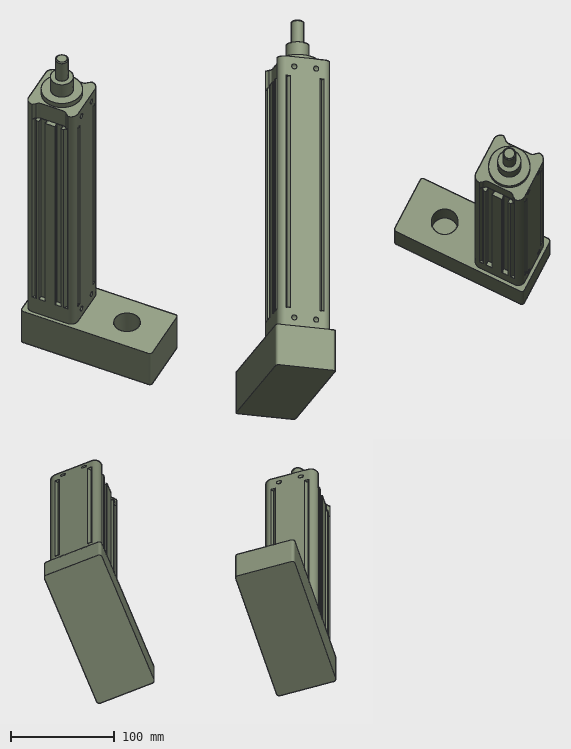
import cadquery as cq
import math

BASE_LENGTH = 140.0
BASE_WIDTH = 60.0
BASE_HEIGHT = 42.0
BASE_CORNER = 3.0
BORE_DIAMETER = 25.7
BORE_DEPTH = 29.5
BORE_SPACING = 70.0

BODY_SIDE = 53.0
BODY_MARGIN = (BASE_WIDTH - BODY_SIDE) / 2
BODY_TOP = 321.0
BODY_CORNER = 7.5
BODY_X = BODY_MARGIN + BODY_SIDE / 2

FLANGE = (40.0, 326.5)
COLLAR = (22.5, 343.0)
ROD = (12.5, 367.5)
ROD_CHAMFER = 1.0

END_MARGIN = 20.0
GROOVE_BOTTOM = BASE_HEIGHT + END_MARGIN
GROOVE_TOP = BODY_TOP - END_MARGIN
EDGE_GROOVE_WIDTH = 4.5
EDGE_GROOVE_DEPTH = 3.0
EDGE_GROOVE_OUTER_RUN = 2.0
SLOT_DEPTH = 4.5
SLOT_OUTER_EDGE = 11.8
RIB_HALF_WIDTH = 6.0
RIB_NOSE = 0.7

RECESS_DEPTH = 4.8
RECESS_ARC_RADIUS = 5.0
RECESS_ARC_ANGLE = 57.0
RECESS_RIM_STEP = 1.0

DIMPLE_DIAMETER = 5.0
DIMPLE_DEPTH = DIMPLE_DIAMETER / 2
DIMPLE_SPACING = 22.0
DIMPLE_END_DISTANCE = 10.0

HALF_SIDE = BODY_SIDE / 2
FLAT_EDGE = HALF_SIDE - BODY_CORNER
OVERCUT = 2.0


def turned(shape, angle):
    """Turn a shape made for the front face onto another face of the body."""
    return shape.rotate((0, 0, 0), (0, 0, 1), angle)


def edge_groove(side):
    """V groove beside a rounded body edge, on the front face (side is -1 or 1)."""
    outer = side * FLAT_EDGE
    inner = side * (FLAT_EDGE - EDGE_GROOVE_WIDTH)
    bottom = side * (FLAT_EDGE - EDGE_GROOVE_OUTER_RUN)
    return (
        cq.Workplane("XY", origin=(0, 0, GROOVE_BOTTOM))
        .moveTo(outer, -HALF_SIDE - OVERCUT)
        .lineTo(outer, -HALF_SIDE)
        .lineTo(bottom, -HALF_SIDE + EDGE_GROOVE_DEPTH)
        .lineTo(inner, -HALF_SIDE)
        .lineTo(inner, -HALF_SIDE - OVERCUT)
        .close()
        .extrude(GROOVE_TOP - GROOVE_BOTTOM)
    )


def sensor_slot():
    """One slot in the front face, its inner wall undercut behind the pointed edge of the central rib."""
    rib_wall = RIB_HALF_WIDTH - RIB_NOSE
    return (
        cq.Workplane("XY", origin=(0, 0, GROOVE_BOTTOM))
        .moveTo(SLOT_OUTER_EDGE, -HALF_SIDE - OVERCUT)
        .lineTo(SLOT_OUTER_EDGE, -HALF_SIDE + SLOT_DEPTH)
        .lineTo(rib_wall, -HALF_SIDE + SLOT_DEPTH)
        .lineTo(rib_wall, -HALF_SIDE + 2 * RIB_NOSE)
        .lineTo(RIB_HALF_WIDTH, -HALF_SIDE + RIB_NOSE)
        .lineTo(rib_wall, -HALF_SIDE)
        .lineTo(rib_wall, -HALF_SIDE - OVERCUT)
        .close()
        .extrude(GROOVE_TOP - GROOVE_BOTTOM)
    )


def recess():
    """Recess open at the top of the front face, its floor curving up into sloped sides."""
    floor_y = -HALF_SIDE + RECESS_DEPTH
    floor_x = SLOT_OUTER_EDGE

    def arc_point(angle):
        turn = math.radians(angle)
        return (
            floor_x + RECESS_ARC_RADIUS * math.sin(turn),
            floor_y - RECESS_ARC_RADIUS * (1 - math.cos(turn)),
        )

    middle = arc_point(RECESS_ARC_ANGLE / 2)
    end = arc_point(RECESS_ARC_ANGLE)
    step = (FLAT_EDGE - RECESS_RIM_STEP, -HALF_SIDE + RECESS_RIM_STEP)
    half = (
        cq.Workplane("XY", origin=(0, 0, GROOVE_TOP))
        .moveTo(0, floor_y)
        .lineTo(floor_x, floor_y)
        .threePointArc(middle, end)
        .lineTo(*step)
        .lineTo(FLAT_EDGE, -HALF_SIDE)
        .lineTo(FLAT_EDGE, -HALF_SIDE - OVERCUT)
        .lineTo(0, -HALF_SIDE - OVERCUT)
        .close()
        .extrude(END_MARGIN + OVERCUT)
    )
    return half.union(half.mirror("YZ"))


def dimples():
    """Four conical dimples in the front face, two near each body end."""
    cone = cq.Solid.makeCone(
        DIMPLE_DIAMETER / 2, 0, DIMPLE_DEPTH, pnt=cq.Vector(0, -HALF_SIDE, 0), dir=cq.Vector(0, 1, 0)
    )
    heights = (BASE_HEIGHT + DIMPLE_END_DISTANCE, BODY_TOP - DIMPLE_END_DISTANCE)
    centres = [(side * DIMPLE_SPACING / 2, 0, z) for side in (-1, 1) for z in heights]
    return cq.Workplane("XY").pushPoints(centres).eachpoint(cone)


def body():
    """Square profile with its grooves, recesses and dimples, centred on the Z axis."""
    profile = (
        cq.Workplane("XY", origin=(0, 0, BASE_HEIGHT))
        .rect(BODY_SIDE, BODY_SIDE)
        .extrude(BODY_TOP - BASE_HEIGHT)
        .edges("|Z")
        .fillet(BODY_CORNER)
    )
    for angle in (0, 90, 180, 270):
        for side in (-1, 1):
            profile = profile.cut(turned(edge_groove(side), angle))
    slots = sensor_slot().union(sensor_slot().mirror("YZ"))
    for angle in (0, 180):
        profile = profile.cut(turned(slots, angle))
        profile = profile.cut(turned(recess(), angle))
    cones = dimples()
    for angle in (90, 270):
        profile = profile.cut(turned(cones, angle))
    return profile


def piston_rod():
    """Flange, collar and chamfered rod stacked on the body."""
    stack = cq.Workplane("XY")
    bottom = BODY_TOP
    for diameter, top in (FLANGE, COLLAR, ROD):
        step = cq.Workplane("XY", origin=(0, 0, bottom)).circle(diameter / 2).extrude(top - bottom)
        stack = stack.union(step)
        bottom = top
    return stack.faces(">Z").chamfer(ROD_CHAMFER)


def base():
    """Rounded block with a blind bore in its top face."""
    return (
        cq.Workplane("XY")
        .box(BASE_LENGTH, BASE_WIDTH, BASE_HEIGHT, centered=(False, True, False))
        .edges("|Z")
        .fillet(BASE_CORNER)
        .faces(">Z")
        .workplane(origin=(BODY_X + BORE_SPACING, 0, BASE_HEIGHT))
        .hole(BORE_DIAMETER, BORE_DEPTH)
    )


actuator = body().union(piston_rod())
result = base().union(actuator.translate((BODY_X, 0, 0)))